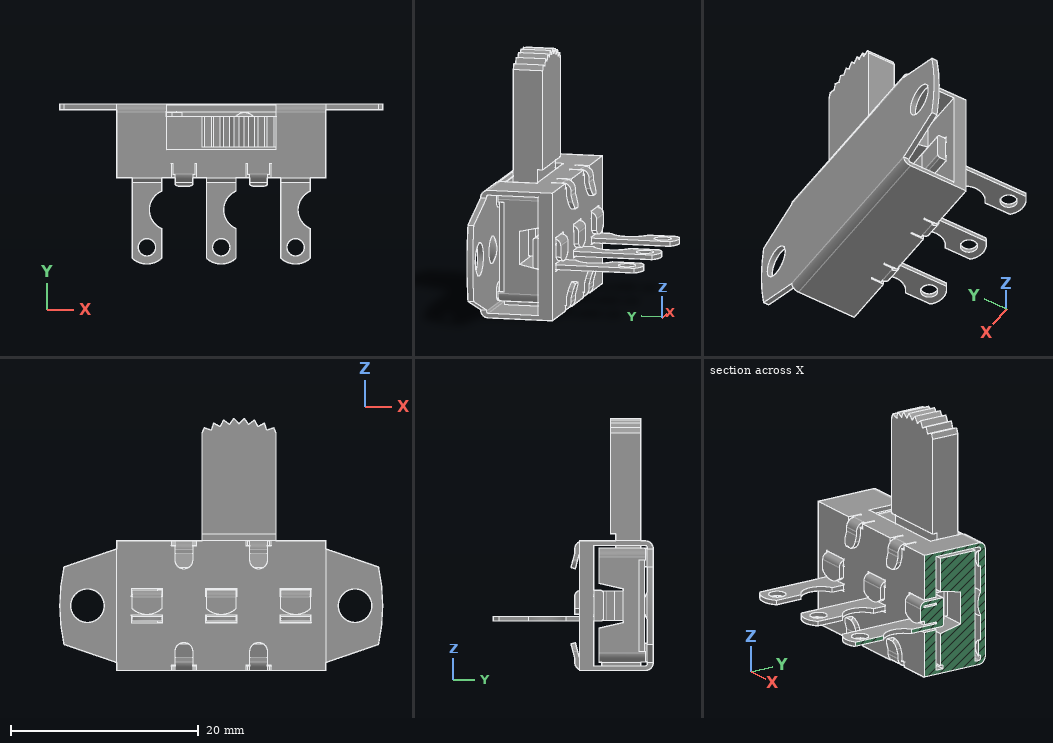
import cadquery as cq
import math


body_length = 22.3
body_height = 13.85
plate_thickness = 0.65
wall_thickness = 0.5
shell_depth = 6.35
bend_radius = 0.85
inner_bend_radius = 0.2
window_length = 11.7
window_back_depth = 0.15
window_front_depth = 4.9

ear_span = 34.43
ear_root_height = 12.12
ear_corner_span = 33.55
ear_corner_height = 8.25
ear_hole_diameter = 3.55
ear_hole_spacing = 28.5
dimple_spacing = 17.08
dimple_diameter = 2.95
dimple_height = 0.4

base_front_depth = 7.9
tab_spacing = 7.95
tab_width = 1.9
tab_neck_width = 2.38
tab_neck_depth = 7.5
tab_bend_radius = 0.93
tab_front_depth = 8.4
tab_kink_height = 5.55
tab_tip_height = 3.93
tab_flare_angle = 15.0
tab_notch_width = 2.65
tab_notch_height = 0.6

terminal_pitch = 7.92
terminal_width = 3.17
terminal_thickness = 0.5
terminal_half_height = 1.65
terminal_inner_depth = 5.35
terminal_tip_depth = 17.08
terminal_tip_radius = 2.3
terminal_bridge_fillet = 0.28
terminal_hole_diameter = 1.82
terminal_hole_depth = 15.3
bite_radius = 2.17
bite_depth = 11.3
bite_offset = 2.45
fold_front_depth = 8.4
fold_bend_diameter = 1.4
fold_tip_height = -0.93
slot_width = 3.3
slot_outer_height = 1.82
slot_inner_height = 1.0

slider_center = 1.9
slider_length = 17.42
slider_back_depth = 0.83
slider_front_depth = 5.82
slider_top = 6.15
slider_bottom = -6.03
slider_fillet = 1.0
notch_floor_depth = 3.25
notch_floor_height = 3.58
notch_mouth_height = 4.75
pocket_depth = 1.35
pocket_length = 15.55
end_recess_depth = 0.93
end_recess_height = 9.7
end_chamfer_length = 0.28
end_chamfer_depth = 0.6
pad_diameter = 2.0
pad_edge_offset = 1.05
foot_front_depth = 5.5
rib_width = 1.07
rib_center = -4.7
bump_center = 2.48
bump_diameter = 1.9
bump_height = 0.4

knob_length = 7.92
knob_back_depth = 1.35
knob_front_depth = 4.58
neck_front_depth = 4.03
knob_bottom = 7.65
knob_shoulder = 18.4
knob_top = 19.97
tooth_count = 8
tooth_angle = 8.8
tooth_tip_radius = 7.23
tooth_root_radius = 6.65

contact_length = 11.02
contact_height = 3.17
contact_back_depth = 4.15
contact_fillet = 0.35
carrier_inset = 0.7

half_length = body_length / 2
half_height = body_height / 2
inner_half_height = half_height - wall_thickness


def block(x_center, length, depths, heights):
    """Box centred in X, between two depths and two heights."""
    depth = depths[1] - depths[0]
    height = heights[1] - heights[0]
    return cq.Workplane("XY").box(length, depth, height).translate(
        (x_center, -(depths[0] + depths[1]) / 2, (heights[0] + heights[1]) / 2)
    )


def facing_front(depth):
    """XZ sketch plane at a depth; positive extrusion goes toward -Y."""
    return cq.Workplane("XZ", origin=(0, -depth, 0))


def side_profile(x_center, width):
    """YZ sketch plane for a profile extruded over a width centred in X."""
    return cq.Workplane("YZ", origin=(x_center - width / 2, 0, 0))


def dome(x_center, base_depth, diameter, height, direction):
    """Spherical cap on a face at base_depth; direction is -1 toward -Y, +1 toward +Y."""
    radius = (diameter**2 / 4 + height**2) / (2 * height)
    half_angle = math.asin(diameter / 2 / radius) / 2
    mid_x = radius * math.sin(half_angle)
    mid_y = height - radius + radius * math.cos(half_angle)
    return (
        cq.Workplane("XY", origin=(x_center, -base_depth, 0))
        .moveTo(0, 0)
        .lineTo(diameter / 2, 0)
        .threePointArc((mid_x, direction * mid_y), (0, direction * height))
        .close()
        .revolve(360, (0, 0, 0), (0, 1, 0))
    )


def make_ears():
    """Back plate reaching out to the two mounting ears with their screw holes."""
    root = ear_root_height / 2
    corner_x = ear_corner_span / 2
    corner_z = ear_corner_height / 2
    plate = (
        facing_front(0)
        .moveTo(-half_length, root)
        .lineTo(half_length, root)
        .lineTo(corner_x, corner_z)
        .threePointArc((ear_span / 2, 0), (corner_x, -corner_z))
        .lineTo(half_length, -root)
        .lineTo(-half_length, -root)
        .lineTo(-corner_x, -corner_z)
        .threePointArc((-ear_span / 2, 0), (-corner_x, corner_z))
        .close()
        .extrude(plate_thickness)
    )
    holes = (
        facing_front(0)
        .rarray(ear_hole_spacing, 0.35, 2, 1)
        .circle(ear_hole_diameter / 2)
        .extrude(plate_thickness)
    )
    return plate.cut(holes)


def make_shell():
    """Folded shell, open at both ends, with the knob window and two dimples."""
    outer = block(0, body_length, (0, shell_depth), (-half_height, half_height))
    outer = outer.edges("|X and >Y").fillet(bend_radius)
    inner = block(0, body_length, (plate_thickness, shell_depth), (-inner_half_height, inner_half_height))
    inner = inner.edges("|X and >Y").fillet(inner_bend_radius)
    window_depths = (window_back_depth, window_front_depth)
    window = block(0, window_length, window_depths, (inner_half_height, half_height))
    shell = outer.cut(inner).cut(window).union(make_ears())
    for side in (-1, 1):
        x = side * dimple_spacing / 2
        shell = shell.union(dome(x, plate_thickness, dimple_diameter, dimple_height, -1))
    return shell


def make_tab(x_center):
    """Upper clamping tab: neck through the base notch, then bent down over the base."""
    bend_depth = tab_front_depth - tab_bend_radius
    bend_z = half_height - tab_bend_radius
    inner_depth = tab_front_depth - wall_thickness
    diagonal = tab_bend_radius * math.sqrt(0.5)
    flare_angle = math.radians(tab_flare_angle)
    flare_drop = (tab_kink_height - tab_tip_height) - wall_thickness * math.sin(flare_angle)
    flare_shift = flare_drop * math.tan(flare_angle)
    tip_depth = tab_front_depth + flare_shift
    tip_inner_depth = tip_depth - wall_thickness * math.cos(flare_angle)
    profile = (
        side_profile(x_center, tab_neck_width)
        .moveTo(-shell_depth, half_height)
        .lineTo(-bend_depth, half_height)
        .threePointArc((-bend_depth - diagonal, bend_z + diagonal), (-tab_front_depth, bend_z))
        .lineTo(-tab_front_depth, tab_kink_height)
        .lineTo(-tip_depth, tab_kink_height - flare_drop)
        .lineTo(-tip_inner_depth, tab_tip_height)
        .lineTo(-inner_depth, tab_kink_height)
        .lineTo(-inner_depth, inner_half_height)
        .lineTo(-shell_depth, inner_half_height)
        .close()
        .extrude(tab_neck_width)
    )
    tip_radius = tab_width / 2
    tongue_height = half_height - tab_tip_height - tip_radius
    tongue = block(x_center, tab_width, (shell_depth, tip_depth), (half_height - tongue_height, half_height))
    tip = facing_front(shell_depth).center(x_center, half_height - tongue_height).circle(tip_radius)
    neck = block(x_center, tab_neck_width, (shell_depth, tab_neck_depth), (inner_half_height, half_height))
    outline = tongue.union(tip.extrude(tip_depth - shell_depth)).union(neck)
    return profile.intersect(outline)


def make_base():
    """Base block with terminal slots, held by four tabs bent over its front."""
    depths = (shell_depth, base_front_depth)
    base = block(0, body_length, depths, (-half_height, half_height))
    for x in (-tab_spacing / 2, tab_spacing / 2):
        notch = block(x, tab_notch_width, depths, (half_height - tab_notch_height, half_height))
        base = base.cut(notch).cut(notch.mirror("XY"))
    for index in (-1, 0, 1):
        slot = block(index * terminal_pitch, slot_width, depths, (slot_inner_height, slot_outer_height))
        base = base.cut(slot).cut(slot.mirror("XY"))
    for x in (-tab_spacing / 2, tab_spacing / 2):
        tab = make_tab(x)
        base = base.union(tab).union(tab.mirror("XY"))
    return base


def make_terminal(x_center):
    """Strip folded into a U: blade below, bridge behind the base, folded end above."""
    half_width = terminal_width / 2
    outer_z = terminal_half_height
    inner_z = outer_z - terminal_thickness

    tip_sagitta = terminal_tip_radius - math.sqrt(terminal_tip_radius**2 - half_width**2)
    shoulder_depth = terminal_tip_depth - tip_sagitta
    blade = (
        cq.Workplane("XY", origin=(x_center, 0, -outer_z))
        .moveTo(-half_width, -shell_depth)
        .lineTo(-half_width, -shoulder_depth)
        .threePointArc((0, -terminal_tip_depth), (half_width, -shoulder_depth))
        .lineTo(half_width, -shell_depth)
        .close()
        .extrude(terminal_thickness)
    )
    cutters = (
        cq.Workplane("XY", origin=(x_center, 0, -outer_z))
        .pushPoints([(0, -terminal_hole_depth)])
        .circle(terminal_hole_diameter / 2)
        .pushPoints([(bite_offset, -bite_depth)])
        .circle(bite_radius)
        .extrude(terminal_thickness)
    )
    blade = blade.cut(cutters)

    bridge_depths = (terminal_inner_depth, shell_depth)
    bridge = block(x_center, terminal_width, bridge_depths, (-outer_z, outer_z))
    bridge = bridge.edges("|X and >Y").fillet(terminal_bridge_fillet)

    fold = block(x_center, terminal_width, (shell_depth, fold_front_depth), (fold_tip_height, outer_z))
    fold = fold.edges("|X and <Y and >Z").fillet(fold_bend_diameter / 2)
    fold_back = fold_front_depth - terminal_thickness
    fold = fold.cut(block(x_center, terminal_width, (shell_depth, fold_back), (fold_tip_height, inner_z)))
    rounding_center = fold_tip_height + terminal_tip_radius
    rounding = (
        facing_front(shell_depth)
        .center(x_center, rounding_center)
        .circle(terminal_tip_radius)
        .extrude(fold_front_depth - shell_depth)
    )
    upper_part = block(x_center, terminal_width, (shell_depth, fold_front_depth), (rounding_center, outer_z))
    fold = fold.intersect(rounding.union(upper_part))
    return blade.union(bridge).union(fold)


def make_slider():
    """Slider block inside the shell, without its knob."""
    depths = (slider_back_depth, slider_front_depth)
    half = slider_length / 2
    slider = block(slider_center, slider_length, depths, (slider_bottom, slider_top))
    slider = slider.edges("|Y").fillet(slider_fillet)

    notch = (
        side_profile(slider_center, slider_length)
        .moveTo(-notch_floor_depth, notch_floor_height / 2)
        .lineTo(-slider_front_depth, notch_mouth_height / 2)
        .lineTo(-slider_front_depth, -notch_mouth_height / 2)
        .lineTo(-notch_floor_depth, -notch_floor_height / 2)
        .close()
        .extrude(slider_length)
    )
    slider = slider.cut(notch)

    slider = slider.cut(
        block(slider_center, pocket_length, (slider_back_depth, pocket_depth), (slider_bottom, slider_top))
    )
    recess_z = end_recess_height / 2
    slider = slider.cut(
        block(slider_center, slider_length, (slider_back_depth, end_recess_depth), (-recess_z, recess_z))
    )
    for side in (-1, 1):
        end_x = slider_center + side * half
        chamfer = (
            cq.Workplane("XY", origin=(0, 0, -recess_z))
            .moveTo(end_x, -end_recess_depth)
            .lineTo(end_x - side * end_chamfer_length, -end_recess_depth)
            .lineTo(end_x, -end_recess_depth - end_chamfer_depth)
            .close()
            .extrude(end_recess_height)
        )
        slider = slider.cut(chamfer)

    pad_x = half - pad_edge_offset
    pad_heights = (slider_bottom + pad_edge_offset, slider_top - pad_edge_offset)
    pads = (
        facing_front(plate_thickness)
        .pushPoints([(slider_center + side * pad_x, z) for side in (-1, 1) for z in pad_heights])
        .circle(pad_diameter / 2)
        .extrude(end_recess_depth - plate_thickness)
    )
    foot_depths = (pocket_depth, foot_front_depth)
    foot = block(slider_center, pocket_length, foot_depths, (-inner_half_height, slider_bottom))
    rib = block(rib_center, rib_width, (end_recess_depth, pocket_depth), (-recess_z, recess_z))
    bump = dome(bump_center, pocket_depth, bump_diameter, bump_height, 1)
    return slider.union(pads).union(foot).union(rib).union(bump)


def make_knob():
    """Knob with a serrated top, on a thinner neck that joins the slider."""
    half = knob_length / 2
    arc_center = knob_top - tooth_tip_radius * math.cos(math.radians(tooth_angle / 2))

    def on_arc(radius, steps):
        angle = math.radians(steps * tooth_angle)
        return (slider_center + radius * math.sin(angle), arc_center + radius * math.cos(angle))

    serration = []
    for index in range(tooth_count):
        step = index - (tooth_count - 1) / 2
        serration.append(on_arc(tooth_tip_radius, step))
        if index < tooth_count - 1:
            serration.append(on_arc(tooth_root_radius, step + 0.5))

    left = slider_center - half
    right = slider_center + half
    outline = [(left, knob_bottom), (left, knob_shoulder)]
    outline += serration
    outline += [(right, knob_shoulder), (right, knob_bottom)]
    handle = facing_front(knob_back_depth).polyline(outline).close()
    handle = handle.extrude(knob_front_depth - knob_back_depth)
    neck = block(slider_center, knob_length, (knob_back_depth, neck_front_depth), (slider_top, knob_bottom))
    return handle.union(neck)


def make_contact():
    """Contact plate pressed on the terminals, with the carrier behind it."""
    half = contact_height / 2
    plate_depths = (contact_back_depth, terminal_inner_depth)
    plate = block(slider_center, contact_length, plate_depths, (-half, half))
    plate = plate.edges("|Z and <Y").fillet(contact_fillet)
    carrier_depths = (notch_floor_depth, contact_back_depth)
    carrier_length = contact_length - 2 * carrier_inset
    carrier = block(slider_center, carrier_length, carrier_depths, (-half, half))
    return plate.union(carrier)


result = make_shell().union(make_base())
for terminal_index in (-1, 0, 1):
    result = result.union(make_terminal(terminal_index * terminal_pitch))
result = result.union(make_slider().union(make_knob()).union(make_contact()))